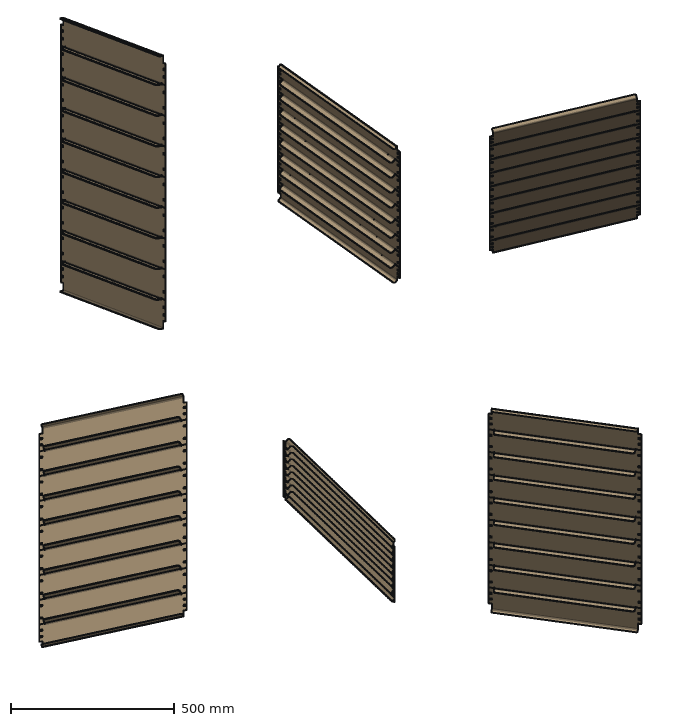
import cadquery as cq

overall_height = 890.0
plate_width = 476.0
joint_flange_depth = 20.0

sheet = 1.4
bend_radius = sheet
corner_radius = 4.0

panel_count = 9
end_panel_height = 95.0
pitch = (overall_height - 2 * end_panel_height) / (panel_count - 2)

joint_flange_width = 440.0
joint_flange_chamfer = 4.5
end_flange_width = 456.0
end_flange_depth = 15.0
end_flange_chamfer = 3.0

shoulder_height = 25.0

slot_width = 8.45
slot_height = 5.8
slot_spread = 464.0
slot_offset = pitch / 4


def sheet_piece(width, z_start, z_end):
    """Flat sheet centred on x = 0 with its back on y = 0, between two heights given in either order."""
    height = abs(z_end - z_start)
    blank = cq.Workplane("XY").box(width, sheet, height)
    return blank.translate((0, -sheet / 2, (z_start + z_end) / 2))


def plate(z_start, z_end):
    """Full-width sheet with rounded corners."""
    return sheet_piece(plate_width, z_start, z_end).edges("|Y").fillet(corner_radius)


def clear_fold(panel, width, edge_z, inward):
    """Remove the strip of plate that a fold of the given width at edge_z takes the place of."""
    bend_z = edge_z + inward * (sheet + bend_radius)
    return panel.cut(sheet_piece(width, edge_z, bend_z))


def flange(width, depth, chamfer, edge_z, inward):
    """Flange folded forward along the plate edge at edge_z; inward is the z direction into the panel."""
    outer_radius = bend_radius + sheet
    inner_z = edge_z + inward * sheet
    bend_z = inner_z + inward * bend_radius
    profile = (
        cq.Workplane("YZ", origin=(-width / 2, 0, 0))
        .moveTo(-outer_radius, edge_z)
        .lineTo(-depth, edge_z)
        .lineTo(-depth, inner_z)
        .lineTo(-outer_radius, inner_z)
        .radiusArc((-sheet, bend_z), -inward * bend_radius)
        .lineTo(0, bend_z)
        .radiusArc((-outer_radius, edge_z), inward * outer_radius)
        .close()
    )
    return profile.extrude(width).edges("|Z").edges("<Y").chamfer(chamfer)


def fold_joint_flange(panel, edge_z, inward):
    """Add the deep flange that lies against the neighbouring panel."""
    folded = flange(joint_flange_width, joint_flange_depth, joint_flange_chamfer, edge_z, inward)
    return clear_fold(panel, joint_flange_width, edge_z, inward).union(folded)


def fold_end_flange(panel, edge_z, inward):
    """Add the shallow flange at the top or bottom of the stack."""
    folded = flange(end_flange_width, end_flange_depth, end_flange_chamfer, edge_z, inward)
    return clear_fold(panel, end_flange_width, edge_z, inward).union(folded)


def slots(heights):
    """Cutters for one slot on each side at each of the given heights."""
    points = [(side * slot_spread / 2, z) for z in heights for side in (-1, 1)]
    return cq.Workplane("XZ").pushPoints(points).slot2D(slot_width, slot_height).extrude(sheet)


def middle_panel(z_min):
    """Panel with a joint flange along both edges."""
    z_max = z_min + pitch
    panel = fold_joint_flange(plate(z_min, z_max), z_min, 1)
    panel = fold_joint_flange(panel, z_max, -1)
    return panel.cut(slots([z_min + slot_offset, z_max - slot_offset]))


def end_panel(joint_z, outward):
    """Outermost panel, running from its joint in the z direction outward to a narrowed, flanged end."""
    end_z = joint_z + outward * end_panel_height
    shoulder_z = end_z - outward * shoulder_height
    neck = sheet_piece(end_flange_width, shoulder_z, end_z)
    panel = plate(joint_z, shoulder_z).union(neck)
    panel = fold_joint_flange(panel, joint_z, outward)
    panel = fold_end_flange(panel, end_z, -outward)
    return panel.cut(slots([joint_z + outward * slot_offset, joint_z + outward * 2 * slot_offset]))


top_joint = overall_height / 2 - end_panel_height
bottom_joint = -top_joint

middle_panels = [middle_panel(bottom_joint + i * pitch) for i in range(panel_count - 2)]
end_panels = [end_panel(bottom_joint, -1), end_panel(top_joint, 1)]

result = cq.Compound.makeCompound([panel.solids().val() for panel in middle_panels + end_panels])